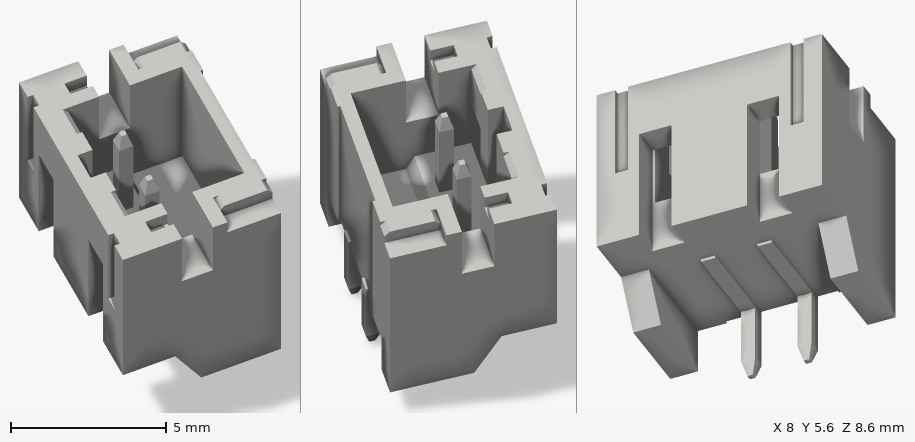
import cadquery as cq


HOUSING_WIDTH = 8.0
HOUSING_DEPTH = 5.6
HOUSING_HEIGHT = 6.0
HALF_WIDTH = HOUSING_WIDTH / 2

SIDE_WALL = 1.6
FRONT_WALL = 1.0
BACK_WALL = 0.56
CAVITY_DEPTH = 4.1
CAVITY_WIDTH = HOUSING_WIDTH - 2 * SIDE_WALL
CAVITY_BACK = HOUSING_DEPTH - BACK_WALL
CAVITY_FLOOR = HOUSING_HEIGHT - CAVITY_DEPTH

RAMP_START = 2.91
RAMP_RUN = 0.28
RAMP_DROP = 2 * RAMP_RUN

KEY_WIDTH = 1.015
KEY_FRONT = 0.465
LEAD_IN = 0.19
LEAD_IN_LENGTH = 1.09

NOTCH_FRONT = 2.1
NOTCH_BACK = 3.19
NOTCH_DEPTH = 2.22

WINDOW_OUTER_X = 2.485
WINDOW_INNER_X = 1.34
WINDOW_TOP = HOUSING_HEIGHT - 2.0

BACK_RELIEF_WIDTH = 4.0
BACK_RELIEF_DEPTH = 0.095

FOOT_WIDTH = 0.99
FOOT_HEIGHT = 1.6
FOOT_TOP_FRONT = 1.86
FOOT_BOTTOM_FRONT = 2.78

ANCHOR_WIDTH = 0.465
ANCHOR_OFFSET = 0.65
ANCHOR_FRONT = 3.71
ANCHOR_HEIGHT = 0.525
ANCHOR_CHAMFER = 0.19
ANCHOR_OUTER_X = HALF_WIDTH - ANCHOR_OFFSET
ANCHOR_INNER_X = ANCHOR_OUTER_X - ANCHOR_WIDTH
SHELF_Z = HOUSING_HEIGHT - ANCHOR_HEIGHT
END_SLOT_FRONT = 1.31
GROOVE_DEPTH = 0.2
GROOVE_LENGTH = 3.3

PIN_PITCH = 2.0
PIN_SIZE = 0.5
PIN_FRONT = 2.055
PIN_TOP = HOUSING_HEIGHT - 0.4
PIN_BOTTOM = -2.6
PIN_PROUD = 0.1
TIP_LENGTH = 0.52
TIP_SIZE = 0.2

SIDES = (-1, 1)


def block(x_limits, y_limits, z_limits):
    """Box between pairs of limits, given in either order."""
    x0, x1 = sorted(x_limits)
    y0, y1 = sorted(y_limits)
    z0, z1 = sorted(z_limits)
    return cq.Workplane("XY").box(x1 - x0, y1 - y0, z1 - z0, centered=False).translate((x0, y0, z0))


def centred_block(width, y_limits, z_limits):
    """Box that is symmetric about X = 0."""
    return block((-width / 2, width / 2), y_limits, z_limits)


def side_prism(side, x_inner, x_outer, profile):
    """Prism along X with a (Y, Z) profile, at the left (-1) or right (1) end."""
    start = min(side * x_inner, side * x_outer)
    return cq.Workplane("YZ", origin=(start, 0, 0)).polyline(profile).close().extrude(x_outer - x_inner)


def make_foot(side):
    profile = [
        (FOOT_TOP_FRONT, 0),
        (HOUSING_DEPTH, 0),
        (HOUSING_DEPTH, -FOOT_HEIGHT),
        (FOOT_BOTTOM_FRONT, -FOOT_HEIGHT),
    ]
    return side_prism(side, HALF_WIDTH - FOOT_WIDTH, HALF_WIDTH, profile)


def make_cavity():
    profile = [
        (FRONT_WALL, HOUSING_HEIGHT),
        (FRONT_WALL, CAVITY_FLOOR),
        (RAMP_START, CAVITY_FLOOR),
        (RAMP_START + RAMP_RUN, CAVITY_FLOOR - RAMP_DROP),
        (CAVITY_BACK, CAVITY_FLOOR - RAMP_DROP),
        (CAVITY_BACK, HOUSING_HEIGHT),
    ]
    cavity = cq.Workplane("YZ").polyline(profile).close().extrude(CAVITY_WIDTH / 2, both=True)
    key = centred_block(KEY_WIDTH, (KEY_FRONT, FRONT_WALL), (CAVITY_FLOOR, HOUSING_HEIGHT))
    return cavity.union(key)


def make_lead_in(side):
    profile = [
        (FRONT_WALL, HOUSING_HEIGHT),
        (FRONT_WALL - LEAD_IN, HOUSING_HEIGHT),
        (FRONT_WALL, HOUSING_HEIGHT - LEAD_IN),
    ]
    return side_prism(side, CAVITY_WIDTH / 2 - LEAD_IN_LENGTH, CAVITY_WIDTH / 2, profile)


def make_end_cuts(side):
    """The cuts at one end of the housing, as a list of blocks."""
    outer = side * HALF_WIDTH
    anchor_x = (side * ANCHOR_INNER_X, side * ANCHOR_OUTER_X)
    notch = block(
        (side * CAVITY_WIDTH / 2, outer),
        (NOTCH_FRONT, NOTCH_BACK),
        (HOUSING_HEIGHT - NOTCH_DEPTH, HOUSING_HEIGHT),
    )
    shelf = block((side * ANCHOR_INNER_X, outer), (ANCHOR_FRONT, HOUSING_DEPTH), (SHELF_Z, HOUSING_HEIGHT))
    end_slot = block(anchor_x, (END_SLOT_FRONT, NOTCH_FRONT), (SHELF_Z, HOUSING_HEIGHT))
    groove = block(anchor_x, (0, GROOVE_DEPTH), (HOUSING_HEIGHT - GROOVE_LENGTH, HOUSING_HEIGHT))
    window = block((side * WINDOW_INNER_X, side * WINDOW_OUTER_X), (0, FRONT_WALL), (0, WINDOW_TOP))
    return [notch, shelf, end_slot, groove, window]


def make_housing(pins):
    housing = centred_block(HOUSING_WIDTH, (0, HOUSING_DEPTH), (0, HOUSING_HEIGHT))
    for side in SIDES:
        housing = housing.union(make_foot(side))
    housing = housing.cut(make_cavity())
    back_y = (HOUSING_DEPTH - BACK_RELIEF_DEPTH, HOUSING_DEPTH)
    housing = housing.cut(centred_block(BACK_RELIEF_WIDTH, back_y, (0, HOUSING_HEIGHT)))
    for side in SIDES:
        housing = housing.cut(make_lead_in(side))
        for cutter in make_end_cuts(side):
            housing = housing.cut(cutter)
    for pin in pins:
        housing = housing.cut(pin)
    return housing


def make_tip(x, y, z, direction):
    """Tapered pin end that starts at height z and points up (1) or down (-1)."""
    return (
        cq.Workplane("XY", origin=(x, y, z))
        .rect(PIN_SIZE, PIN_SIZE)
        .workplane(offset=direction * TIP_LENGTH)
        .rect(TIP_SIZE, TIP_SIZE)
        .loft(ruled=True)
    )


def make_pin(x):
    """Square pin: up into the cavity, back along the underside, then down behind the housing."""
    x_limits = (x - PIN_SIZE / 2, x + PIN_SIZE / 2)
    tail_front = HOUSING_DEPTH - PIN_SIZE
    contact_end = PIN_TOP - TIP_LENGTH
    tail_end = PIN_BOTTOM + TIP_LENGTH
    contact = block(x_limits, (PIN_FRONT, PIN_FRONT + PIN_SIZE), (-PIN_PROUD, contact_end))
    run = block(x_limits, (PIN_FRONT, HOUSING_DEPTH), (-PIN_PROUD, PIN_SIZE - PIN_PROUD))
    tail = block(x_limits, (tail_front, HOUSING_DEPTH), (tail_end, PIN_SIZE - PIN_PROUD))
    contact_tip = make_tip(x, PIN_FRONT + PIN_SIZE / 2, contact_end, 1)
    tail_tip = make_tip(x, tail_front + PIN_SIZE / 2, tail_end, -1)
    return contact.union(run).union(tail).union(contact_tip).union(tail_tip)


def make_anchor(side):
    """Bar on the shelf at one end, with both ends of its top edge chamfered."""
    x_limits = (side * ANCHOR_INNER_X, side * ANCHOR_OUTER_X)
    bar = block(x_limits, (ANCHOR_FRONT, HOUSING_DEPTH), (SHELF_Z, HOUSING_HEIGHT))
    return bar.faces(">Z").edges("|X").chamfer(ANCHOR_CHAMFER)


pins = [make_pin(side * PIN_PITCH / 2) for side in SIDES]
anchors = [make_anchor(side) for side in SIDES]
housing = make_housing(pins)

result = cq.Compound.makeCompound(
    [
        housing.val(),
        *[pin.val() for pin in pins],
        *[anchor.val() for anchor in anchors],
    ]
)